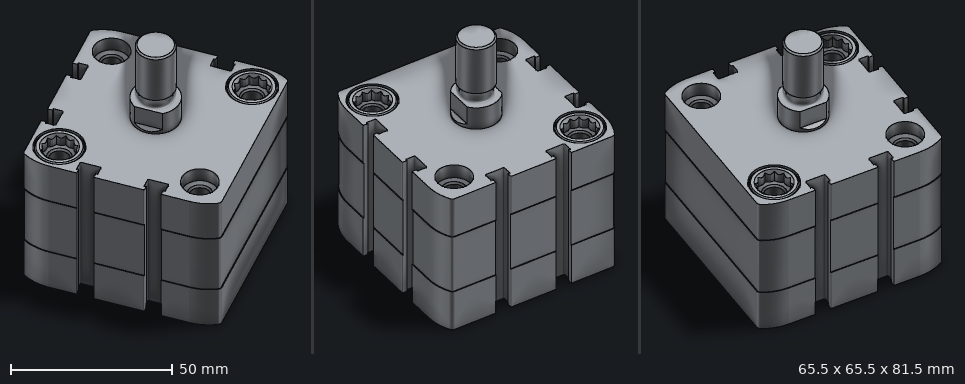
import cadquery as cq
import math

TOTAL_HEIGHT = 81.55
SIDE = 65.5
HOUSING_HEIGHT = 51.2
HALF_SIDE = SIDE / 2

CAP_HEIGHT = 14.9
BARREL_INSET = 0.25
BARREL_HEIGHT = HOUSING_HEIGHT - 2 * CAP_HEIGHT
CORNER_ARC_RADIUS = 17.5
CAP_CORNER_FILLET = 1.6
BARREL_CORNER_FILLET = 1.0

SLOT_OFFSET = 11.2
SLOT_MOUTH_WIDTH = 5.55
SLOT_INNER_WIDTH = 6.9
SLOT_LIP = 1.7
SLOT_DEPTH = 5.05
SLOT_CORNER_FILLET = 0.4
SLOT_EDGE_FILLET = 0.3

BOLT_OFFSET = 23.25
BOLT_HOLE_DIAMETER = 6.7
COUNTERSINK_DIAMETER = 8.0
COUNTERSINK_DEPTH = 0.6
COUNTERBORE_DIAMETER = 12.0
COUNTERBORE_DEPTH = 5.0

HEAD_RECESS_DIAMETER = 16.4
HEAD_DIAMETER = 15.5
HEAD_CHAMFER = 0.4
HEAD_RECESS_DEPTH = 1.0
SOCKET_WIDTH = 10.0
SOCKET_BORE_DIAMETER = 10.6
SOCKET_DEPTH = 4.4
SOCKET_CHAMFER_DIAMETER = 12.4
SOCKET_CHAMFER_DEPTH = 1.3
HEXAGON_SIDES = 6

ROD_DIAMETER = 16.0
ROD_SHOULDER_HEIGHT = 8.3
ROD_FLAT_WIDTH = 13.0
FLAT_BOTTOM_HEIGHT = 1.6
FLAT_SLOPE_ANGLE = 30
ROD_THREAD_DIAMETER = 12.7
ROD_THREAD_CHAMFER = 0.6
NECK_DIAMETER = 10.6
NECK_FILLET = 0.65
NECK_HEIGHT = 1.5
RUNOUT_HEIGHT = 2.85
RUNOUT_RADIUS = 9.8

BOLT_HEAD_CENTRES = [(-BOLT_OFFSET, -BOLT_OFFSET), (BOLT_OFFSET, BOLT_OFFSET)]
OPEN_HOLE_CENTRES = [(-BOLT_OFFSET, BOLT_OFFSET), (BOLT_OFFSET, -BOLT_OFFSET)]


def square_layer(height, inset, corner_fillet):
    """Square block, shrunk by an inset, whose Y faces curve away towards the corners."""
    half_side = HALF_SIDE - inset
    radius = CORNER_ARC_RADIUS - inset
    run = half_side - BOLT_OFFSET
    corner = half_side - radius + math.sqrt(radius**2 - run**2)
    return (
        cq.Workplane("XY")
        .moveTo(-BOLT_OFFSET, half_side)
        .lineTo(BOLT_OFFSET, half_side)
        .radiusArc((half_side, corner), radius)
        .lineTo(half_side, -corner)
        .radiusArc((BOLT_OFFSET, -half_side), radius)
        .lineTo(-BOLT_OFFSET, -half_side)
        .radiusArc((-half_side, -corner), radius)
        .lineTo(-half_side, corner)
        .radiusArc((-BOLT_OFFSET, half_side), radius)
        .close()
        .extrude(height)
        .edges("|Z and (<X or >X)")
        .fillet(corner_fillet)
    )


def t_slot():
    """T-slot cutter for the -Y side, running the full height at +X."""
    inner_depth = SLOT_DEPTH - SLOT_LIP
    mouth = cq.Workplane("XY").box(
        SLOT_MOUTH_WIDTH, SLOT_DEPTH, HOUSING_HEIGHT, centered=(True, False, False)
    )
    inner = (
        cq.Workplane("XY")
        .box(SLOT_INNER_WIDTH, inner_depth, HOUSING_HEIGHT, centered=(True, False, False))
        .edges("|Z and >Y")
        .fillet(SLOT_CORNER_FILLET)
        .translate((0, SLOT_LIP, 0))
    )
    return mouth.union(inner).translate((SLOT_OFFSET, -HALF_SIDE, 0))


def cut_slots(layer):
    """Cut two slots into each of the -Y, -X and +Y sides."""
    right_slot = t_slot()
    left_slot = right_slot.mirror("YZ")
    for turn in (0, -90, 180):
        for slot in (right_slot, left_slot):
            layer = layer.cut(slot.rotate((0, 0, 0), (0, 0, 1), turn))
    return layer


def make_cap():
    """End cap whose slot mouths are rounded on the edge nearest the middle of the side."""
    cap = cut_slots(square_layer(CAP_HEIGHT, 0, CAP_CORNER_FILLET))
    edge = SLOT_OFFSET - SLOT_MOUTH_WIDTH / 2
    edge_points = [(side * edge, face) for side in (-1, 1) for face in (-HALF_SIDE, HALF_SIDE)]
    edge_points += [(-HALF_SIDE, side * edge) for side in (-1, 1)]
    for x, y in edge_points:
        nearest_edge = cq.selectors.NearestToPointSelector((x, y, CAP_HEIGHT / 2))
        cap = cap.edges(nearest_edge).fillet(SLOT_EDGE_FILLET)
    return cap


def make_barrel():
    """Middle section with sharp slot mouths."""
    return cut_slots(square_layer(BARREL_HEIGHT, BARREL_INSET, BARREL_CORNER_FILLET))


def cylinder(diameter, bottom, top):
    return cq.Workplane("XY").workplane(offset=bottom).circle(diameter / 2).extrude(top - bottom)


def cone(bottom_diameter, top_diameter, bottom, top):
    return (
        cq.Workplane("XY")
        .workplane(offset=bottom)
        .circle(bottom_diameter / 2)
        .workplane(offset=top - bottom)
        .circle(top_diameter / 2)
        .loft()
    )


def bolt_hole(floor):
    """Through hole with a shallow countersink below the given floor."""
    hole = cylinder(BOLT_HOLE_DIAMETER, 0, floor)
    return hole.union(cone(BOLT_HOLE_DIAMETER, COUNTERSINK_DIAMETER, floor - COUNTERSINK_DEPTH, floor))


def open_hole():
    floor = HOUSING_HEIGHT - COUNTERBORE_DEPTH
    return bolt_hole(floor).union(cylinder(COUNTERBORE_DIAMETER, floor, HOUSING_HEIGHT))


def socket_hole():
    """Twelve-point socket: two crossed hexagons, a bore trimming their inner tips and a lead-in cone."""
    floor = HOUSING_HEIGHT - SOCKET_DEPTH
    hexagon = (
        cq.Workplane("XY")
        .workplane(offset=floor)
        .polygon(HEXAGON_SIDES, SOCKET_WIDTH, circumscribed=True)
        .extrude(SOCKET_DEPTH)
    )
    socket = cylinder(SOCKET_BORE_DIAMETER, floor, HOUSING_HEIGHT)
    socket = socket.union(hexagon)
    socket = socket.union(hexagon.rotate((0, 0, 0), (0, 0, 1), 180 / HEXAGON_SIDES))
    lead_in_bottom = HOUSING_HEIGHT - SOCKET_CHAMFER_DEPTH
    socket = socket.union(
        cone(SOCKET_BORE_DIAMETER, SOCKET_CHAMFER_DIAMETER, lead_in_bottom, HOUSING_HEIGHT)
    )
    return socket.union(bolt_hole(floor))


def head_groove():
    """Ring-shaped gap around a bolt head whose top edge is chamfered."""
    floor = HOUSING_HEIGHT - HEAD_RECESS_DEPTH
    head = cylinder(HEAD_DIAMETER, floor, HOUSING_HEIGHT).faces(">Z").chamfer(HEAD_CHAMFER)
    return cylinder(HEAD_RECESS_DIAMETER, floor, HOUSING_HEIGHT).cut(head)


def make_housing():
    """Caps and barrel joined into one block with its four corner bolt holes."""
    cap = make_cap()
    body = cap.union(make_barrel().translate((0, 0, CAP_HEIGHT)))
    body = body.union(cap.translate((0, 0, CAP_HEIGHT + BARREL_HEIGHT)))
    for x, y in OPEN_HOLE_CENTRES:
        body = body.cut(open_hole().translate((x, y, 0)))
    for x, y in BOLT_HEAD_CENTRES:
        body = body.cut(socket_hole().translate((x, y, 0)))
        body = body.cut(head_groove().translate((x, y, 0)))
    return body


def wrench_flat(shoulder_top):
    """Cutter for the flat on the +Y side, with a sloped runout at its lower end."""
    flat_y = ROD_FLAT_WIDTH / 2
    outer_y = ROD_DIAMETER
    flat_bottom = HOUSING_HEIGHT + FLAT_BOTTOM_HEIGHT
    slope_drop = (outer_y - flat_y) * math.tan(math.radians(FLAT_SLOPE_ANGLE))
    return (
        cq.Workplane("YZ")
        .moveTo(flat_y, flat_bottom)
        .lineTo(outer_y, flat_bottom - slope_drop)
        .lineTo(outer_y, shoulder_top)
        .lineTo(flat_y, shoulder_top)
        .close()
        .extrude(ROD_DIAMETER, both=True)
    )


def make_rod():
    """Rod with a shoulder, an undercut neck and a threaded end, standing on the housing."""
    shoulder_top = HOUSING_HEIGHT + ROD_SHOULDER_HEIGHT
    neck_top = shoulder_top + NECK_HEIGHT
    thread_bottom = neck_top + RUNOUT_HEIGHT
    rod_radius = ROD_DIAMETER / 2
    neck_radius = NECK_DIAMETER / 2
    thread_radius = ROD_THREAD_DIAMETER / 2
    rod = (
        cq.Workplane("XZ")
        .moveTo(0, HOUSING_HEIGHT)
        .lineTo(rod_radius, HOUSING_HEIGHT)
        .lineTo(rod_radius, shoulder_top)
        .lineTo(neck_radius + NECK_FILLET, shoulder_top)
        .radiusArc((neck_radius, shoulder_top + NECK_FILLET), NECK_FILLET)
        .lineTo(neck_radius, neck_top)
        .radiusArc((thread_radius, thread_bottom), RUNOUT_RADIUS)
        .lineTo(thread_radius, TOTAL_HEIGHT - ROD_THREAD_CHAMFER)
        .lineTo(thread_radius - ROD_THREAD_CHAMFER, TOTAL_HEIGHT)
        .lineTo(0, TOTAL_HEIGHT)
        .close()
        .revolve(360, (0, 0, 0), (0, 1, 0))
    )
    flat = wrench_flat(shoulder_top)
    return rod.cut(flat).cut(flat.mirror("XZ"))


housing = make_housing()
rod = make_rod()

result = cq.Compound.makeCompound([housing.val(), rod.val()])